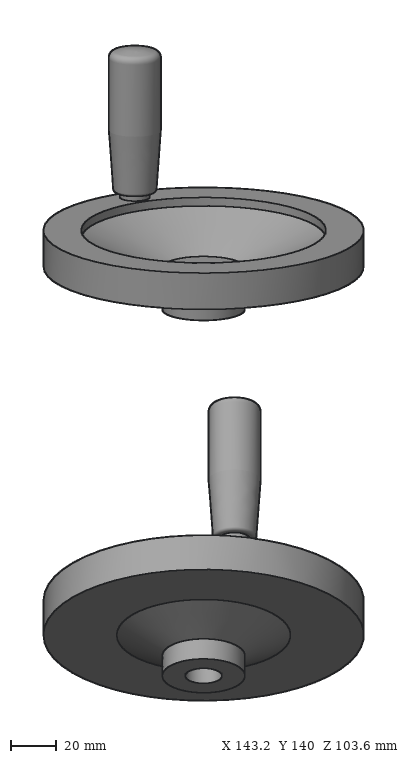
import cadquery as cq

overall_length = 143.2

wheel_diameter = 140.0
wheel_radius = wheel_diameter / 2
wheel_height = 36.0
rim_height = 16.5
recess_radius = 53.5
recess_lip_depth = 3.9

hub_radius = 18.0
bore_radius = 8.0
hub_height = 19.0
hub_top_step = 3.2
hub_bottom_length = 9.6
web_rim_radius = 38.0

handle_radius = 11.5
handle_height = 67.6
handle_axis_distance = overall_length - wheel_radius - handle_radius
neck_radius = 6.6
neck_length = 2.6
grip_foot_radius = 9.6
foot_round = 1.5
grip_straight_start = 30.5
crown_radius = 9.2
crown_height = 1.5
shoulder_height = 3.0


def make_wheel():
    """Rim, conical web and bored hub, revolved about Z from the hub's bottom face."""
    rim_bottom = wheel_height - rim_height
    profile = (
        cq.Workplane("XZ")
        .moveTo(bore_radius, 0)
        .lineTo(hub_radius, 0)
        .lineTo(hub_radius, hub_bottom_length)
        .lineTo(web_rim_radius, rim_bottom)
        .lineTo(wheel_radius, rim_bottom)
        .lineTo(wheel_radius, wheel_height)
        .lineTo(recess_radius, wheel_height)
        .lineTo(recess_radius, wheel_height - recess_lip_depth)
        .lineTo(hub_radius, hub_height - hub_top_step)
        .lineTo(hub_radius, hub_height)
        .lineTo(bore_radius, hub_height)
        .close()
    )
    return profile.revolve(360, (0, 0, 0), (0, 1, 0))


def make_handle():
    """Neck, tapered grip and domed crown, standing on the XY plane around Z."""
    crown_edge = handle_height - crown_height
    shoulder = crown_edge - shoulder_height
    dome_radius = (crown_radius**2 + crown_height**2) / (2 * crown_height)
    profile = (
        cq.Workplane("XZ")
        .lineTo(neck_radius, 0)
        .lineTo(neck_radius, neck_length)
        .lineTo(grip_foot_radius - foot_round, neck_length)
        .radiusArc((grip_foot_radius, neck_length + foot_round), -foot_round)
        .lineTo(handle_radius, grip_straight_start)
        .lineTo(handle_radius, shoulder)
        .tangentArcPoint((crown_radius, crown_edge), relative=False)
        .radiusArc((0, handle_height), -dome_radius)
        .close()
    )
    return profile.revolve(360, (0, 0, 0), (0, 1, 0))


handle = make_handle().translate((-handle_axis_distance, 0, wheel_height))
result = make_wheel().union(handle)